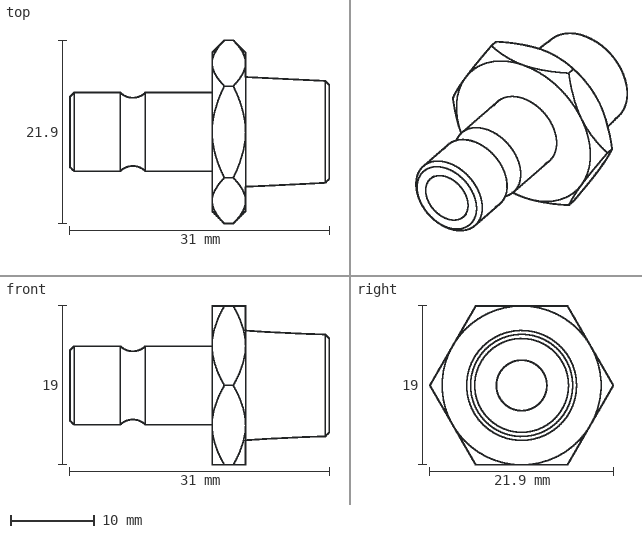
import cadquery as cq
import math

total_length = 31.0
groove_start = 6.0
groove_width = 3.0
hex_start = 17.0
hex_width = 4.0
hex_end = hex_start + hex_width

bore_radius = 3.0
plug_radius = 4.7
groove_depth = 0.62
hex_across_flats = 19.0
taper_radius_large = 6.57
taper_radius_small = 6.1
end_chamfer = 0.5

hex_across_corners = hex_across_flats / math.cos(math.radians(30))


def make_plug():
    """Cylindrical plug with a chamfered tip and a round-bottomed locking groove."""
    groove_end = groove_start + groove_width
    groove_middle = groove_start + groove_width / 2
    return (
        cq.Workplane("XY")
        .lineTo(0, plug_radius - end_chamfer)
        .lineTo(end_chamfer, plug_radius)
        .lineTo(groove_start, plug_radius)
        .threePointArc((groove_middle, plug_radius - groove_depth), (groove_end, plug_radius))
        .lineTo(hex_start, plug_radius)
        .lineTo(hex_start, 0)
        .close()
        .revolve(360, (0, 0, 0), (1, 0, 0))
    )


def make_hex():
    """Hexagon with corners along Y, its corners turned off at 45 degrees on both faces."""
    prism = (
        cq.Workplane("YZ", origin=(hex_start, 0, 0))
        .polygon(6, hex_across_corners)
        .extrude(hex_width)
    )
    flat_radius = hex_across_flats / 2
    half_width = hex_width / 2
    turned_envelope = (
        cq.Workplane("XY")
        .moveTo(hex_start, 0)
        .lineTo(hex_start, flat_radius)
        .lineTo(hex_start + half_width, flat_radius + half_width)
        .lineTo(hex_end, flat_radius)
        .lineTo(hex_end, 0)
        .close()
        .revolve(360, (0, 0, 0), (1, 0, 0))
    )
    return prism.intersect(turned_envelope)


def make_taper():
    """Tapered connection end, narrowing away from the hexagon to a chamfered rim."""
    chamfer_start = total_length - end_chamfer
    return (
        cq.Workplane("XY")
        .moveTo(hex_end, 0)
        .lineTo(hex_end, taper_radius_large)
        .lineTo(chamfer_start, taper_radius_small)
        .lineTo(total_length, taper_radius_small - end_chamfer)
        .lineTo(total_length, 0)
        .close()
        .revolve(360, (0, 0, 0), (1, 0, 0))
    )


bore = cq.Workplane("YZ").circle(bore_radius).extrude(total_length)

result = make_plug().union(make_hex()).union(make_taper()).cut(bore)